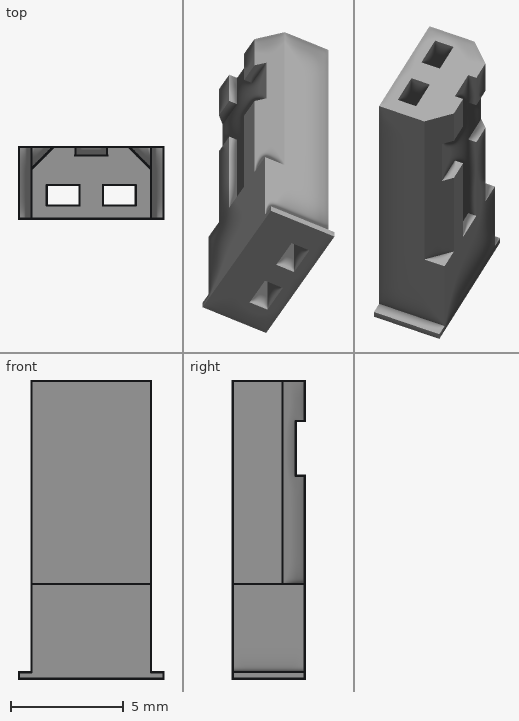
import cadquery as cq

total_height = 13.2
depth = 3.2
flange_length = 6.4
flange_thickness = 0.3
body_width = 5.3
base_height = 4.2

passage_pitch = 2.5
passage_width = 1.44
passage_depth = 0.9
passage_front_wall = 0.6

corner_chamfer = 0.99
groove_depth = 0.4
keyway_width = 1.4
cross_slot_height = 2.42
cross_slot_top_margin = 1.78

housing_height = total_height - base_height
cross_slot_bottom = total_height - cross_slot_top_margin - cross_slot_height


def block(width, y_size, height, y_start, z_start):
    """Box centred on X, starting at the given Y and Z."""
    return (
        cq.Workplane("XY")
        .box(width, y_size, height, centered=(True, False, False))
        .translate((0, y_start, z_start))
    )


def cut_passages(body):
    """Cut the contact passages through the full height of a body."""
    passage = block(passage_width, passage_depth, total_height, passage_front_wall, 0)
    for side in (-1, 1):
        body = body.cut(passage.translate((side * passage_pitch / 2, 0, 0)))
    return body


def make_base():
    """Lower block with a thin flange projecting at both ends."""
    flange = block(flange_length, depth, flange_thickness, 0, 0)
    riser = block(body_width, depth, base_height, 0, 0)
    return cut_passages(riser.union(flange))


def make_housing():
    """Upper block with chamfered back corners, a keyway and a cross slot."""
    body = block(body_width, depth, housing_height, 0, base_height)
    body = body.edges("|Z and >Y").chamfer(corner_chamfer)

    groove_floor = depth - groove_depth
    body = body.cut(block(keyway_width, groove_depth, housing_height, groove_floor, base_height))

    body = body.cut(block(body_width, groove_depth, cross_slot_height, groove_floor, cross_slot_bottom))
    return cut_passages(body)


base = make_base()
housing = make_housing()

result = cq.Compound.makeCompound([base.val(), housing.val()])